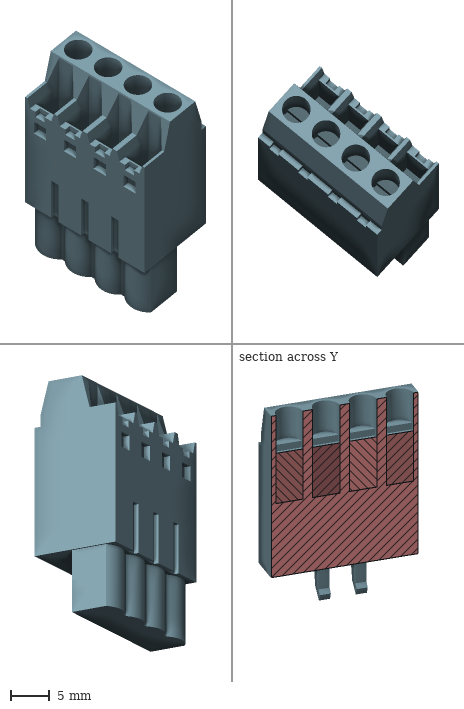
import cadquery as cq


POLES = 4
WIDTH = 20.32
PITCH = WIDTH / POLES
DEPTH = 12.2
HEIGHT = 31.8
BODY_BOTTOM = 8.4
SHOULDER_Z = 27.3
LEDGE_Z = 25.82
SHOULDER_Y = 3.9
RIDGE_FRONT_Y = 5.1
RIDGE_BACK_Y = 10.1
LEDGE_Y = 11.35

PLUG_FRONT_Y = 0.67
PLUG_VALLEY_Y = 1.62
PLUG_BACK_Y = 6.75
TOOTH_WIDTH = 4.55

ENTRY_FLOOR_Z = 25.7
ENTRY_TOP_HALF = 2.15
ENTRY_FLOOR_HALF = 1.72
ENTRY_BACK_HALF = 1.05
ENTRY_BACK_Y = SHOULDER_Y + ENTRY_TOP_HALF - ENTRY_BACK_HALF
FIRST_ENTRY_EXTRA = 0.22
WIRE_HOLE_FRONT_Y = 1.15
CHAMBER_FLOOR_Z = 19.08

NOTCH_WIDTH = 1.55
NOTCH_HEIGHT = 0.92
RECESS_DEPTH = 0.92
WINDOW_SIZE = 2.07
WINDOW_BOTTOM_Z = 21.7
SLOT_WIDTH = 1.27
SLOT_DEPTH = PLUG_FRONT_Y
SLOT_TOP_Z = 15.05

GROOVE_WIDTH = 1.53
GROOVE_HEIGHT = 0.92
OUTER_GROOVE_SHIFT = 0.15
LATCH_WIDTH = GROOVE_WIDTH
LATCH_PROFILE = [
    (10.25, BODY_BOTTOM),
    (9.57, 5.02),
    (8.2, 3.63),
    (7.9, 4.55),
    (8.33, 5.18),
    (8.33, BODY_BOTTOM),
]

SCREW_Y = 7.6
SCREW_DIAMETER = 3.7
SCREW_TOP_Z = SHOULDER_Z
DRIVE_WIDTH = 0.7
DRIVE_DEPTH = 0.95

pole_xs = [(i - (POLES - 1) / 2) * PITCH for i in range(POLES)]
gap_xs = [x + PITCH / 2 for x in pole_xs[:-1]]


def box(x_min, x_max, y_min, y_max, z_min, z_max):
    """Axis-aligned block between the given limits."""
    size = (x_max - x_min, y_max - y_min, z_max - z_min)
    return cq.Workplane().box(*size, centered=False).translate((x_min, y_min, z_min))


def centred_box(x, width, y_min, y_max, z_min, z_max):
    """Block of the given width, centred on x."""
    return box(x - width / 2, x + width / 2, y_min, y_max, z_min, z_max)


def side_profile(points, x, width):
    """Extrude a (Y, Z) outline along X, centred on x."""
    return cq.Workplane("YZ", origin=(x, 0, 0)).polyline(points).close().extrude(width / 2, both=True)


def housing_body():
    outline = [
        (0, BODY_BOTTOM),
        (0, SHOULDER_Z),
        (SHOULDER_Y, SHOULDER_Z),
        (RIDGE_FRONT_Y, HEIGHT),
        (RIDGE_BACK_Y, HEIGHT),
        (LEDGE_Y, SHOULDER_Z),
        (LEDGE_Y, LEDGE_Z),
        (DEPTH, LEDGE_Z),
        (DEPTH, BODY_BOTTOM),
    ]
    return side_profile(outline, 0, WIDTH)


def plug():
    """Plug with a straight back and one shallow arc per pole along its front."""
    half_tooth = TOOTH_WIDTH / 2
    outline = cq.Workplane().moveTo(pole_xs[0] - half_tooth, PLUG_BACK_Y)
    for x in pole_xs:
        outline = outline.lineTo(x - half_tooth, PLUG_VALLEY_Y)
        outline = outline.threePointArc((x, PLUG_FRONT_Y), (x + half_tooth, PLUG_VALLEY_Y))
    outline = outline.lineTo(pole_xs[-1] + half_tooth, PLUG_BACK_Y).close()
    return outline.extrude(BODY_BOTTOM)


def wire_entry(x, extra):
    """Open funnel with chamfered rear corners, leading into a straight wire hole."""
    plan = [
        (x - ENTRY_TOP_HALF, 0),
        (x + ENTRY_TOP_HALF + extra, 0),
        (x + ENTRY_TOP_HALF + extra, SHOULDER_Y),
        (x + ENTRY_BACK_HALF + extra, ENTRY_BACK_Y),
        (x - ENTRY_BACK_HALF, ENTRY_BACK_Y),
        (x - ENTRY_TOP_HALF, SHOULDER_Y),
    ]
    elevation = [
        (x - ENTRY_FLOOR_HALF, CHAMBER_FLOOR_Z),
        (x - ENTRY_FLOOR_HALF, ENTRY_FLOOR_Z),
        (x - ENTRY_TOP_HALF, SHOULDER_Z),
        (x - ENTRY_TOP_HALF, HEIGHT),
        (x + ENTRY_TOP_HALF + extra, HEIGHT),
        (x + ENTRY_TOP_HALF + extra, SHOULDER_Z),
        (x + ENTRY_FLOOR_HALF + extra, ENTRY_FLOOR_Z),
        (x + ENTRY_FLOOR_HALF + extra, CHAMBER_FLOOR_Z),
    ]
    column = cq.Workplane().polyline(plan).close().extrude(HEIGHT)
    funnel = cq.Workplane("XZ").polyline(elevation).close().extrude(-ENTRY_BACK_Y)
    front_wall = centred_box(x, PITCH, 0, WIRE_HOLE_FRONT_Y, 0, ENTRY_FLOOR_Z)
    return column.intersect(funnel).cut(front_wall)


def front_recesses(x):
    """Notch in the funnel lip and square test window of one pole."""
    notch_bottom = ENTRY_FLOOR_Z - NOTCH_HEIGHT
    notch = centred_box(x, NOTCH_WIDTH, 0, RECESS_DEPTH, notch_bottom, ENTRY_FLOOR_Z)
    window_top = WINDOW_BOTTOM_Z + WINDOW_SIZE
    window = centred_box(x, WINDOW_SIZE, 0, RECESS_DEPTH, WINDOW_BOTTOM_Z, window_top)
    return notch.union(window)


def coding_slot(x):
    return centred_box(x, SLOT_WIDTH, 0, SLOT_DEPTH, BODY_BOTTOM, SLOT_TOP_Z)


def rear_groove(x):
    return centred_box(x, GROOVE_WIDTH, LEDGE_Y, DEPTH, LEDGE_Z - GROOVE_HEIGHT, LEDGE_Z)


def screw_cylinder(x, top_z):
    """Cylinder on a screw axis, from the chamber floor up to top_z."""
    base = cq.Workplane(origin=(x, SCREW_Y, CHAMBER_FLOOR_Z))
    return base.circle(SCREW_DIAMETER / 2).extrude(top_z - CHAMBER_FLOOR_Z)


def make_housing():
    body = housing_body().union(plug())
    for x in pole_xs[1:-1]:
        body = body.union(side_profile(LATCH_PROFILE, x, LATCH_WIDTH))
    for x in pole_xs:
        extra = FIRST_ENTRY_EXTRA if x == pole_xs[0] else 0
        body = body.cut(wire_entry(x, extra))
        body = body.cut(front_recesses(x))
        body = body.cut(screw_cylinder(x, HEIGHT))
    for x in gap_xs:
        body = body.cut(coding_slot(x))
    first_groove_x = pole_xs[0] + OUTER_GROOVE_SHIFT
    last_groove_x = pole_xs[-1] - OUTER_GROOVE_SHIFT
    for x in [first_groove_x, *pole_xs[1:-1], last_groove_x]:
        body = body.cut(rear_groove(x))
    return body


def make_screw(x):
    """Clamping screw with a straight drive slot across its top."""
    radius = SCREW_DIAMETER / 2
    slot = box(
        x - radius, x + radius,
        SCREW_Y - DRIVE_WIDTH / 2, SCREW_Y + DRIVE_WIDTH / 2,
        SCREW_TOP_Z - DRIVE_DEPTH, SCREW_TOP_Z,
    )
    return screw_cylinder(x, SCREW_TOP_Z).cut(slot)


housing = make_housing()
screws = [make_screw(x) for x in pole_xs]

result = cq.Compound.makeCompound([housing.val(), *[screw.val() for screw in screws]])